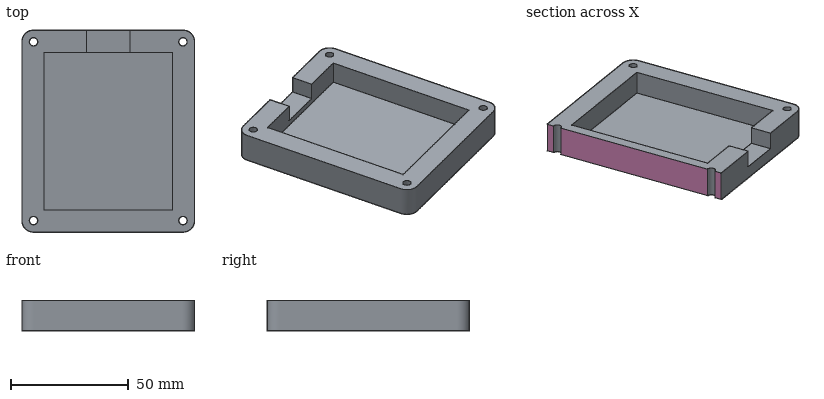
import cadquery as cq

width = 73.5
length = 85.9
height = 13.0
corner_radius = 5.0

wall = 9.45
pocket_depth = 10.0
pocket_width = width - 2 * wall
pocket_length = length - 2 * wall

notch_width = 18.65
notch_depth = 7.5

hole_diameter = 3.4
hole_spacing_x = width - 2 * corner_radius
hole_spacing_y = length - 2 * corner_radius


def make_block():
    block = cq.Workplane("XY").box(width, length, height, centered=(True, True, False))
    return block.edges("|Z").fillet(corner_radius)


def cut_pocket(body):
    return body.faces(">Z").workplane().rect(pocket_width, pocket_length).cutBlind(-pocket_depth)


def cut_notch(body):
    notch = (
        cq.Workplane("XY")
        .box(notch_width, wall, notch_depth, centered=(True, False, False))
        .translate((0, length / 2 - wall, height - notch_depth))
    )
    return body.cut(notch)


def cut_corner_holes(body):
    holes = (
        cq.Workplane("XY")
        .rect(hole_spacing_x, hole_spacing_y, forConstruction=True)
        .vertices()
        .circle(hole_diameter / 2)
        .extrude(height)
    )
    return body.cut(holes)


result = cut_corner_holes(cut_notch(cut_pocket(make_block())))